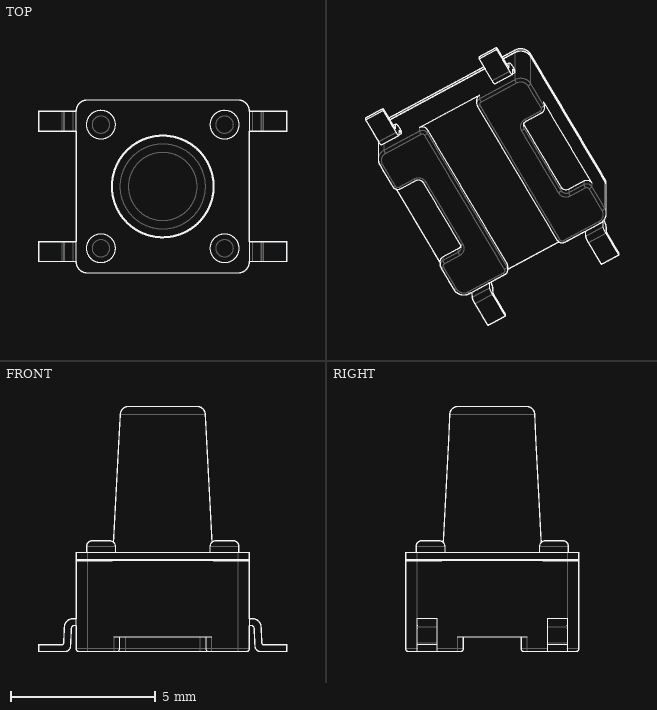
import cadquery as cq
import math

overall_length = 8.6
overall_height = 8.5
body_side = 6.0
corner_radius = 0.395

base_height = 3.15
foot_edge_radius = 0.1
recess_height = 0.5
recess_corner_radius = 0.2
channel_width = 1.995
pocket_width = 2.99
pocket_depth = 1.0

cover_gap = 0.04
cover_thickness = 0.25
cover_hole_radius = 1.78
rivet_spacing = 4.28
rivet_radius = 0.5
rivet_height = 0.4
rivet_edge_radius = 0.2

actuator_base_radius = 1.75
actuator_top_radius = 1.46
actuator_edge_radius = 0.29

terminal_width = 0.7
terminal_thickness = 0.24
terminal_height = 1.14
terminal_root = 0.43
upper_bend_outer_radius = 0.3
upper_bend_inner_radius = 0.1
lower_bend_outer_radius = 0.2
lower_bend_inner_radius = 0.06
riser_top = 3.4
riser_bottom = 3.44

half_side = body_side / 2
cover_bottom = base_height + cover_gap
cover_top = cover_bottom + cover_thickness
terminal_center_y = half_side - corner_radius - terminal_width / 2


def rounded_square_plate(bottom, height):
    """Square plate with rounded upright corners."""
    plate = cq.Workplane("XY").workplane(offset=bottom).rect(body_side, body_side).extrude(height)
    return plate.edges("|Z").fillet(corner_radius)


def upright_edges_at(x, y):
    """Selector for the four recess edges mirrored about both axes at (x, y)."""
    reach = 0.01
    selector = None
    for side_x in (-1, 1):
        for side_y in (-1, 1):
            low = (side_x * x - reach, side_y * y - reach, 0)
            high = (side_x * x + reach, side_y * y + reach, recess_height)
            box = cq.selectors.BoxSelector(low, high)
            selector = box if selector is None else selector + box
    return selector


def make_base_block():
    """Square block with a channel along X and a blind pocket in the -Y and +Y walls."""
    block = rounded_square_plate(0, base_height)
    channel = cq.Workplane("XY").rect(body_side, channel_width).extrude(recess_height)
    pockets = (
        cq.Workplane("XY")
        .pushPoints([(0, -half_side), (0, half_side)])
        .rect(pocket_width, 2 * pocket_depth)
        .extrude(recess_height)
    )
    block = block.cut(channel).cut(pockets)
    corners = (
        upright_edges_at(half_side, channel_width / 2)
        + upright_edges_at(pocket_width / 2, half_side)
        + upright_edges_at(pocket_width / 2, half_side - pocket_depth)
    )
    block = block.edges(corners).fillet(recess_corner_radius)
    return block.faces("<Z").edges().fillet(foot_edge_radius)


def make_actuator():
    """Tapered round button with a rounded top edge."""
    button = (
        cq.Workplane("XZ")
        .moveTo(0, base_height)
        .lineTo(actuator_base_radius, base_height)
        .lineTo(actuator_top_radius, overall_height)
        .lineTo(0, overall_height)
        .close()
        .revolve(360, (0, 0, 0), (0, 1, 0))
    )
    return button.faces(">Z").edges().fillet(actuator_edge_radius)


def make_terminal():
    """Gull-wing strip that leaves the +X wall, bends down and ends in a flat foot."""
    tip = overall_length / 2
    root = half_side - terminal_root
    lean = math.atan((riser_bottom - riser_top) / (terminal_height - terminal_thickness))
    riser_width = terminal_thickness / math.cos(lean)
    strip = (
        cq.Workplane("XZ")
        .moveTo(root, terminal_height)
        .lineTo(riser_top, terminal_height)
        .lineTo(riser_bottom, terminal_thickness)
        .lineTo(tip, terminal_thickness)
        .lineTo(tip, 0)
        .lineTo(riser_bottom - riser_width, 0)
        .lineTo(riser_top - riser_width, terminal_height - terminal_thickness)
        .lineTo(root, terminal_height - terminal_thickness)
        .close()
        .extrude(terminal_width / 2, both=True)
    )

    bends = (
        (riser_top, terminal_height, upper_bend_outer_radius),
        (riser_top - riser_width, terminal_height - terminal_thickness, upper_bend_inner_radius),
        (riser_bottom - riser_width, 0, lower_bend_outer_radius),
        (riser_bottom, terminal_thickness, lower_bend_inner_radius),
    )
    for x, z, radius in bends:
        bend_edge = cq.selectors.NearestToPointSelector((x, 0, z))
        strip = strip.edges("|Y").edges(bend_edge).fillet(radius)
    return strip


def make_base():
    """Base block with its four terminals and the actuator."""
    base = make_base_block().union(make_actuator())
    right_terminal = make_terminal()
    left_terminal = right_terminal.mirror("YZ")
    for terminal in (left_terminal, right_terminal):
        for y in (-terminal_center_y, terminal_center_y):
            base = base.union(terminal.translate((0, y, 0)))
    return base


def make_cover():
    """Cover plate with a clearance hole for the actuator and four rivet heads."""
    plate = rounded_square_plate(cover_bottom, cover_thickness)
    plate = plate.faces(">Z").workplane().circle(cover_hole_radius).cutThruAll()
    rivets = (
        cq.Workplane("XY")
        .workplane(offset=cover_top)
        .rect(rivet_spacing, rivet_spacing, forConstruction=True)
        .vertices()
        .circle(rivet_radius)
        .extrude(rivet_height)
        .faces(">Z")
        .edges()
        .fillet(rivet_edge_radius)
    )
    return plate.union(rivets)


base = make_base()
cover = make_cover()
result = cq.Compound.makeCompound([base.val(), cover.val()])